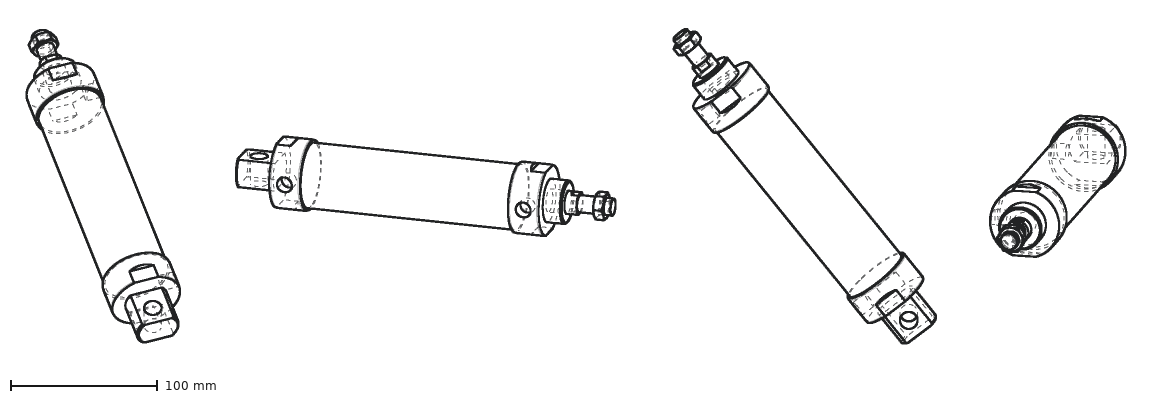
import cadquery as cq
import math


TOTAL_LENGTH = 265.0
NUT_START = 4.8
SHOULDER_START = 23.8
NECK_START = 32.3
FRONT_CAP_START = 45.5
REAR_CAP_END = 238.0
CAP_LENGTH = 22.0

CAP_DIAMETER = 49.0
BARREL_DIAMETER = 45.0
NECK_DIAMETER = 30.0
END_CHAMFER = 1.0
CAP_CHAMFER_LENGTH = 1.3
CAP_CHAMFER_DEPTH = 0.3
CAP_FLAT_SPACING = 45.8
CAP_FLAT_LENGTH = 10.3
PORT_DIAMETER = 10.5
PORT_DEPTH = 10.5
TANG_THICKNESS = 20.0
PIN_HOLE_DIAMETER = 12.0
PIN_HOLE_FROM_END = 12.2

THREAD_DIAMETER = 12.0
ROD_DIAMETER = 16.0
ROD_FLAT_SPACING = 14.0
ROD_FLAT_LENGTH = 4.8
TIP_CHAMFER = 0.3

NUT_THICKNESS = 7.0
NUT_ACROSS_FLATS = 17.0
NUT_CHAMFER_ANGLE = 30.0


def cylinder(start, end, diameter):
    """Round bar along X between two positions."""
    return cq.Workplane("YZ", origin=(start, 0, 0)).circle(diameter / 2).extrude(end - start)


def slab(start, end, width, bottom, top):
    """Box between two X positions and two heights, centred on Y."""
    return cq.Workplane("XY").box(
        end - start, width, top - bottom, centered=(False, True, False)
    ).translate((start, 0, bottom))


def make_cap(start):
    """End cap with a shallow chamfer on both rims."""
    radius = CAP_DIAMETER / 2
    rim_radius = radius - CAP_CHAMFER_DEPTH
    end = start + CAP_LENGTH
    profile = (
        cq.Workplane("XY")
        .moveTo(start, 0)
        .lineTo(start, rim_radius)
        .lineTo(start + CAP_CHAMFER_LENGTH, radius)
        .lineTo(end - CAP_CHAMFER_LENGTH, radius)
        .lineTo(end, rim_radius)
        .lineTo(end, 0)
        .close()
    )
    return profile.revolve(360, (0, 0, 0), (1, 0, 0))


def cap_flat_cutter(face_x, inward, side):
    """Removes a wrench flat; inward is the X direction into the cap, side is +1 (top) or -1 (bottom)."""
    flat_height = CAP_FLAT_SPACING / 2
    run_out = CAP_DIAMETER / 2 - flat_height
    flat_end = face_x + inward * CAP_FLAT_LENGTH
    return (
        cq.Workplane("XZ")
        .polyline([
            (face_x, side * flat_height),
            (flat_end, side * flat_height),
            (flat_end + inward * run_out, side * CAP_DIAMETER / 2),
            (face_x, side * CAP_DIAMETER / 2),
        ])
        .close()
        .extrude(CAP_DIAMETER / 2, both=True)
    )


def port_cutter(cap_start):
    """Blind radial air port at mid-length of a cap, opening toward +Y."""
    cap_radius = CAP_DIAMETER / 2
    port_x = cap_start + CAP_LENGTH / 2
    return cq.Workplane("XZ", origin=(port_x, cap_radius, 0)).circle(PORT_DIAMETER / 2).extrude(PORT_DEPTH)


def make_tang():
    """Flattened rear mounting tang with a vertical pin hole."""
    bar = cylinder(REAR_CAP_END, TOTAL_LENGTH, NECK_DIAMETER).faces(">X").chamfer(END_CHAMFER)
    plate = slab(REAR_CAP_END, TOTAL_LENGTH, NECK_DIAMETER, -TANG_THICKNESS / 2, TANG_THICKNESS / 2)
    pin_hole = (
        cq.Workplane("XY")
        .center(TOTAL_LENGTH - PIN_HOLE_FROM_END, 0)
        .circle(PIN_HOLE_DIAMETER / 2)
        .extrude(TANG_THICKNESS, both=True)
    )
    return bar.intersect(plate).cut(pin_hole)


def make_housing():
    """Barrel, caps, neck and tang, with air ports and a blind bore in the neck for the rod."""
    rear_cap_start = REAR_CAP_END - CAP_LENGTH
    neck = cylinder(NECK_START, FRONT_CAP_START, NECK_DIAMETER).faces("<X").chamfer(END_CHAMFER)
    barrel = cylinder(FRONT_CAP_START + CAP_LENGTH, rear_cap_start, BARREL_DIAMETER)
    body = (
        barrel
        .union(make_cap(FRONT_CAP_START))
        .union(make_cap(rear_cap_start))
        .union(neck)
        .union(make_tang())
    )
    for side in (1, -1):
        body = body.cut(cap_flat_cutter(FRONT_CAP_START, 1, side))
        body = body.cut(cap_flat_cutter(REAR_CAP_END, -1, side))
    for cap_start in (FRONT_CAP_START, rear_cap_start):
        body = body.cut(port_cutter(cap_start))
    rod_bore = cylinder(NECK_START, FRONT_CAP_START, ROD_DIAMETER)
    return body.cut(rod_bore)


def make_rod():
    """Rod with a thinner threaded end and two wrench flats behind it."""
    thread = cylinder(0, SHOULDER_START, THREAD_DIAMETER).faces("<X").chamfer(TIP_CHAMFER)
    rod = cylinder(SHOULDER_START, FRONT_CAP_START, ROD_DIAMETER).union(thread)
    flat_end = SHOULDER_START + ROD_FLAT_LENGTH
    flat_height = ROD_FLAT_SPACING / 2
    for bottom, top in ((flat_height, ROD_DIAMETER), (-ROD_DIAMETER, -flat_height)):
        rod = rod.cut(slab(SHOULDER_START, flat_end, ROD_DIAMETER, bottom, top))
    return rod


def make_nut():
    """Hexagon nut with flats facing up and down and corners chamfered on both faces."""
    corner_diameter = NUT_ACROSS_FLATS / math.cos(math.radians(30))
    hexagon = (
        cq.Workplane("YZ", origin=(NUT_START, 0, 0))
        .polygon(6, corner_diameter)
        .extrude(NUT_THICKNESS)
    )
    chamfer_depth = (corner_diameter - NUT_ACROSS_FLATS) / 2
    chamfer_length = chamfer_depth * math.tan(math.radians(NUT_CHAMFER_ANGLE))
    rounding = cylinder(NUT_START, NUT_START + NUT_THICKNESS, corner_diameter).faces("<X or >X").chamfer(
        chamfer_length, chamfer_depth
    )
    hole = cylinder(NUT_START, NUT_START + NUT_THICKNESS, THREAD_DIAMETER)
    return hexagon.intersect(rounding).cut(hole)


housing = make_housing()
rod = make_rod()
nut = make_nut()

result = cq.Compound.makeCompound([housing.val(), rod.val(), nut.val()])